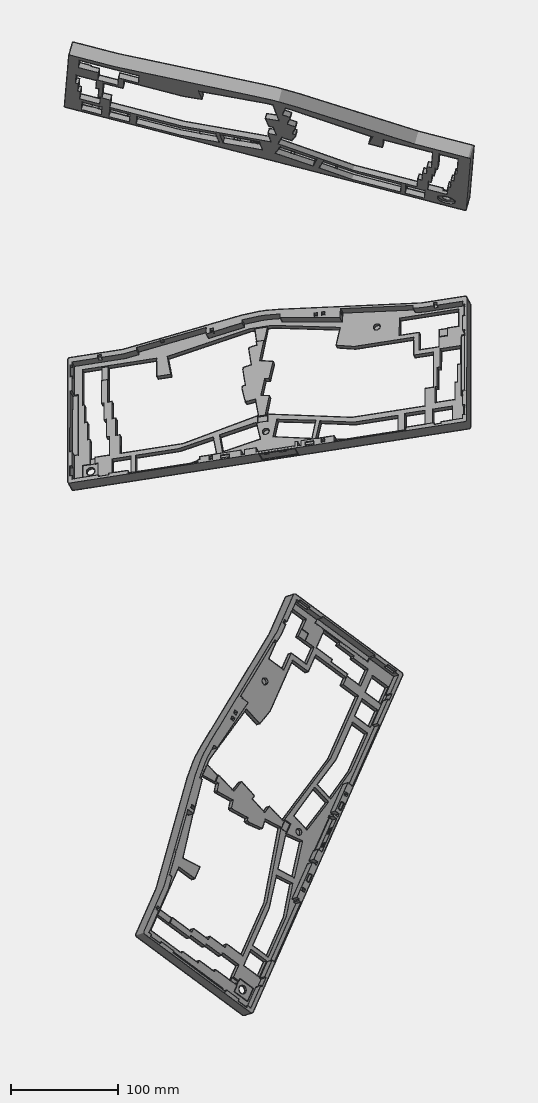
import cadquery as cq

half_length = 193.0
case_height = 13.5
floor_depth = 8.0
side_front_y = -137.5
shoulder_front_y = -154.5
peak_front_y = -156.0
corner_radius = 2.0

rim_width = 4.0
thin_rear_wall = 1.2
thin_side_wall = 2.0
front_rim_width = 5.5
thin_front_rim = 2.5

tilt_x = -42.5
tilt_y = 12.2
tilt_z = 10.3


def prism(points, top_depth, bottom_depth):
    """Vertical prism over a closed outline, between two depths below the rim top."""
    return (
        cq.Workplane("XY")
        .workplane(offset=-bottom_depth)
        .polyline(points)
        .close()
        .extrude(bottom_depth - top_depth)
    )


def block(x_range, y_range, top_depth, bottom_depth):
    """Rectangular block between two x values, two y values and two depths."""
    (x0, x1), (y0, y1) = x_range, y_range
    return prism([(x0, y0), (x1, y0), (x1, y1), (x0, y1)], top_depth, bottom_depth)


def cylinder(center, radius, top_depth, bottom_depth):
    """Upright cylinder between two depths."""
    return (
        cq.Workplane("XY")
        .workplane(offset=-bottom_depth)
        .center(*center)
        .circle(radius)
        .extrude(bottom_depth - top_depth)
    )


def front_edge(inset):
    """Points of the chevron front edge from left to right, moved inward by the inset."""
    return [
        (-half_length + inset, side_front_y + inset),
        (-149.0, side_front_y + inset),
        (-12.2, shoulder_front_y + inset),
        (1.5, peak_front_y + inset),
        (8.0, peak_front_y + inset),
        (25.5, shoulder_front_y + inset),
        (139.5, side_front_y + inset),
        (half_length - inset, side_front_y + inset),
    ]


def make_tray():
    outline = front_edge(0) + [(half_length, 0), (-half_length, 0)]
    tray = prism(outline, 0, case_height)
    for x_side in (-half_length, half_length):
        for y_side in (side_front_y, 0):
            corner = cq.selectors.NearestToPointSelector((x_side, y_side, -case_height / 2))
            tray = tray.edges(corner).fillet(corner_radius)
    inner_x = half_length - rim_width
    rim_front = front_edge(front_rim_width)[1:-1]
    rim_front = [(-inner_x, rim_front[0][1])] + rim_front + [(inner_x, rim_front[-1][1])]
    cavity = rim_front + [(inner_x, -rim_width), (-inner_x, -rim_width)]
    return tray.cut(prism(cavity, 0, floor_depth))


rear_block_depth = 7.0
rear_block_ranges = [(-65.0, -27.0), (10.5, 65.3)]
port_recess = 1.2
port_wall_y = -2.5
port_step_y = -6.0
port_step_height = 1.2
block_hole_half = 1.5
hole_depth = 4.0


def add_rear_blocks(body):
    for x_range in rear_block_ranges:
        body = body.union(block(x_range, (-rear_block_depth, -thin_rear_wall), 0, case_height))
    port_range = (rear_block_ranges[0][1], rear_block_ranges[1][0])
    body = body.union(block(port_range, (port_wall_y, -port_recess), 0, case_height))
    body = body.cut(block(port_range, (-rear_block_depth, port_wall_y), 0, floor_depth))
    step_top = floor_depth - port_step_height
    body = body.union(block(port_range, (port_step_y, port_wall_y), step_top, case_height))
    body = body.cut(block((-26.5, 8.0), (-port_recess, 0), 1.2, case_height - 1.2))
    for x_range in [(-17.0, -10.5), (-0.5, 4.0)]:
        body = body.cut(block(x_range, (port_wall_y, 0), 1.2, 5.0))
    return body


def cut_rear_block_details(body):
    for x in (-54.0, 54.5):
        body = body.cut(block((x - block_hole_half, x + block_hole_half), (-5.5, -2.0), 0, hole_depth))
    for x_range in [(-45.0, -36.7), (36.7, 45.0)]:
        body = body.cut(block(x_range, (-5.0, -1.5), 0, 1.2))
    for x_range in [(-32.5, -29.5), (22.0, 25.5)]:
        body = body.cut(block(x_range, (-rear_block_depth, -2.0), 0, floor_depth))
    return body


def thin_front_rim_between(body, x_left, left_y, x_right, right_y):
    """Thins a straight stretch of the front rim; the y values lie on the outer edge."""
    outline = [
        (x_left, left_y + thin_front_rim),
        (x_right, right_y + thin_front_rim),
        (x_right, right_y + front_rim_width),
        (x_left, left_y + front_rim_width),
    ]
    return body.cut(prism(outline, 0, floor_depth))


def front_y_at(x):
    """Outer front edge on either sloping stretch."""
    edge = front_edge(0)
    (x0, y0), (x1, y1) = (edge[1], edge[2]) if x < 0 else (edge[-3], edge[-2])
    return y0 + (y1 - y0) * (x - x0) / (x1 - x0)


notch_wall = 2.0


def shape_front_rim(body):
    half = block_hole_half
    for x_left, x_right in [(-140.8, -71.0), (59.0, 126.5)]:
        body = thin_front_rim_between(body, x_left, front_y_at(x_left), x_right, front_y_at(x_right))
    left_pad = [(-70.0, -135.0), (-12.2, -145.3), (-12.2, -152.0), (-70.0, -145.3)]
    right_pad = [(24.5, -146.0), (59.0, -140.0), (59.0, -147.7), (24.5, -152.0)]
    for pad in (left_pad, right_pad):
        body = body.union(prism(pad, 0, case_height))
    for x, y in [(-54.0, -143.0), (-47.0, -143.0), (54.0, -143.5)]:
        body = body.cut(block((x - half, x + half), (y - half, y + half), 0, hole_depth))
    for x, y in [(-162.5, side_front_y), (162.5, side_front_y), (102.0, front_y_at(102.0))]:
        body = body.cut(block((x - half, x + half), (y + notch_wall, y + front_rim_width), 0, hole_depth))
    return body


shallow_recess = 4.0
groove_depth = 9.8
groove_inner_x = 185.3


def cut_rim_recesses(body):
    wall_x = half_length - thin_side_wall
    for side in (-1, 1):
        outer = side * wall_x
        for y_range in [(-18.8, -8.0), (-129.0, -116.7)]:
            body = body.cut(block((side * (half_length - rim_width), outer), y_range, 0, shallow_recess))
        body = body.cut(block((side * groove_inner_x, outer), (-100.8, -34.5), 0, groove_depth))
    for x_range in [(-134.0, -65.0), (67.0, 134.5)]:
        body = body.cut(block(x_range, (-rim_width, -thin_rear_wall), 0, floor_depth))
    for x_range in [(-168.0, -161.5), (153.5, 163.2)]:
        body = body.cut(block(x_range, (-rim_width, -2.5), 0, floor_depth))
    return body


opening_margin = 2.0
rear_window_y = -5.0
bar_rear_y = -24.5
bar_front_y = -29.5
key_front_y = -127.5

rear_windows = [
    [(-176.5, rear_window_y), (-157.5, rear_window_y), (-157.5, bar_rear_y), (-176.5, bar_rear_y)],
    [(-150.0, rear_window_y), (-130.5, rear_window_y), (-130.5, bar_rear_y), (-150.0, bar_rear_y)],
    [
        (-124.0, rear_window_y), (-81.5, rear_window_y), (-44.5, -12.2),
        (-48.5, -31.0), (-81.5, -23.5), (-124.0, -23.5),
    ],
    [(-41.0, -13.0), (-3.3, -21.5), (-7.0, -40.0), (-44.5, -32.2)],
    [(9.0, -21.2), (45.7, -13.5), (48.5, -32.5), (13.0, -40.0)],
    [
        (51.5, -12.5), (83.5, rear_window_y), (129.8, rear_window_y),
        (129.8, bar_rear_y), (87.7, bar_rear_y), (54.5, -31.5),
    ],
    [(134.3, rear_window_y), (152.5, rear_window_y), (152.5, bar_rear_y), (134.3, bar_rear_y)],
]

left_column_opening = [
    (-179.0, -31.5), (-160.0, -31.5), (-160.0, -48.5), (-162.0, -48.5), (-162.0, -69.5), (-165.0, -69.5),
    (-165.0, -89.5), (-184.5, -89.5), (-184.5, -69.5), (-181.5, -69.5), (-181.5, -50.0), (-179.0, -50.0),
]

front_left_opening = [
    (-183.0, -111.0), (-163.5, -111.0), (-163.5, -92.0), (-144.5, -92.0),
    (-144.5, -111.0), (-125.3, -111.0), (-125.3, -129.8), (-183.0, -129.8),
]

left_key_opening = [
    (-150.0, bar_front_y), (-79.5, bar_front_y), (4.0, -47.7), (0.5, -67.5), (8.5, -69.0),
    (5.0, -86.5), (1.0, -85.5), (-3.3, -104.0), (9.8, -107.5), (3.0, -143.5), (-2.0, -143.5),
    (-68.0, -129.8), (-64.0, -111.0), (-81.5, -106.5), (-139.0, -106.5), (-139.0, -87.0),
    (-158.5, -87.0), (-158.5, -48.5), (-150.0, -48.5),
]

right_key_opening = [
    (11.0, -47.5), (83.5, bar_front_y), (145.0, bar_front_y), (145.0, -49.8), (149.0, -49.8),
    (149.0, -69.0), (152.5, -69.0), (152.5, -87.7), (156.5, -87.7), (156.5, key_front_y),
    (109.5, key_front_y), (109.5, -107.5), (96.0, -107.5), (99.0, key_front_y), (19.5, -143.5),
    (15.0, -143.5), (12.5, -125.0), (20.0, -123.2), (20.5, -121.5), (18.0, -104.0), (25.7, -102.5),
    (26.0, -100.0), (23.5, -83.0), (26.5, -82.0), (27.0, -79.0), (23.5, -64.5), (14.0, -65.5),
]

right_column_opening = [
    (155.0, bar_front_y), (174.0, bar_front_y), (174.0, -49.8), (176.3, -49.8), (176.3, -69.0),
    (179.0, -69.0), (179.0, -88.5), (181.0, -88.5), (181.0, key_front_y), (163.0, key_front_y),
    (163.0, -87.5), (160.5, -87.5), (160.5, -69.0), (158.0, -69.0), (158.0, -49.8), (155.0, -49.8),
]


def cut_floor_openings(body):
    openings = rear_windows + [
        left_column_opening,
        front_left_opening,
        left_key_opening,
        right_key_opening,
        right_column_opening,
    ]
    for outline in openings:
        body = body.cut(prism(outline, floor_depth - opening_margin, case_height))
    return body


cable_hole = (173.5, -15.0)
cable_hole_radius = 4.0
cable_recess_radius = 8.5
boss_hole_radius = 3.3
boss_hole_depth = 3.3
shallow_pocket = floor_depth + 1.0
step_depth = floor_depth + 1.5
cable_slot_depth = floor_depth + 2.5


def cut_floor_details(body):
    for center in [(3.5, -28.5), (-103.5, -124.0)]:
        body = body.cut(cylinder(center, boss_hole_radius, floor_depth, floor_depth + boss_hole_depth))
    x, y = cable_hole
    body = body.cut(block((x - 7.5, x + 7.5), (y - 7.5, y + 9.5), floor_depth, shallow_pocket))
    body = body.cut(block((169.0, 174.0), (bar_front_y, y - 7.5), floor_depth, cable_slot_depth))
    body = body.cut(cylinder(cable_hole, cable_hole_radius, floor_depth, case_height))
    body = body.cut(cylinder(cable_hole, cable_recess_radius, case_height - 1.5, case_height))
    body = body.cut(block((-172.0, -163.5), (-111.0, -103.0), floor_depth, shallow_pocket))
    for x_range, y_range in [
        ((2.0, 12.0), (-46.5, -39.5)),
        ((3.0, 15.0), (-143.5, -128.5)),
        ((156.5, 163.0), (key_front_y, -112.2)),
    ]:
        body = body.cut(block(x_range, y_range, floor_depth, step_depth))
    return body


flat = make_tray()
flat = add_rear_blocks(flat)
flat = cut_rear_block_details(flat)
flat = shape_front_rim(flat)
flat = cut_rim_recesses(flat)
flat = cut_floor_openings(flat)
flat = cut_floor_details(flat)

result = (
    flat.rotate((0, 0, 0), (1, 0, 0), tilt_x)
    .rotate((0, 0, 0), (0, 1, 0), tilt_y)
    .rotate((0, 0, 0), (0, 0, 1), tilt_z)
)